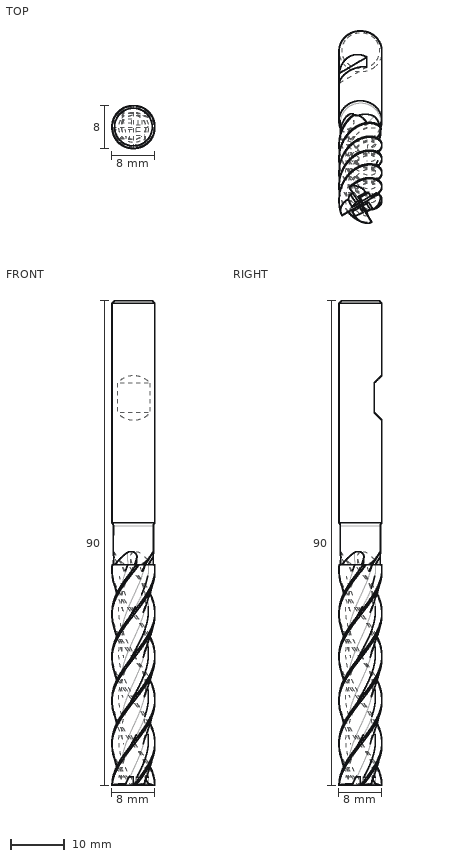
import cadquery as cq
import math

overall_length = 90.0
diameter = 8.0
radius = diameter / 2

shank_bottom = 48.75
shank_end_chamfer = 0.5
neck_radius = 3.75
shoulder_length = 0.5

flat_depth = 1.4
flat_length = 5.5
flat_from_end = 18.0

cut_length = 41.0
tooth_count = 4
tooth_pitch = 360.0 / tooth_count
helix_angle = 38.0
helix_lead = math.pi * diameter / math.tan(math.radians(helix_angle))

land_angle = 6.5
back_middle = (3.32, 29.0)
heel = (2.35, 55.0)
floor_middle = (2.25, 71.0)
rake_foot = (2.8, 86.0)

runout_height = 2.4
runout_lift = 1.5
runout_turn = 9.0
runout_steps = 4

gash_height = 1.6
gash_top_width = 0.8
gash_bottom_width = 1.6
gash_inner_radius = 0.4

end_relief_angle = 8.5


def polar(distance, angle):
    """Point at a distance from the axis and an angle in degrees from +X."""
    turn = math.radians(angle)
    return (distance * math.cos(turn), distance * math.sin(turn))


def twist_over(height):
    """Turn of the right-hand helix over a height, in degrees."""
    return 360.0 * height / helix_lead


def fluted_section(height, turn, lift=0.0):
    """Closed outline at a height, turned by an angle: land, back, flute floor and rake face per tooth.

    The lift moves the whole outline outwards, which makes the flutes shallower.
    """
    section = cq.Workplane("XY").workplane(offset=height)
    section = section.moveTo(*polar(radius + lift, turn))
    for tooth in range(tooth_count):
        edge = turn + tooth * tooth_pitch

        def at(place, edge=edge):
            return polar(place[0] + lift, edge + place[1])

        section = (
            section.threePointArc(at((radius, land_angle / 2)), at((radius, land_angle)))
            .threePointArc(at(back_middle), at(heel))
            .threePointArc(at(floor_middle), at(rake_foot))
            .lineTo(*at((radius, tooth_pitch)))
        )
    return section.close()


def tip_gash(tooth):
    """Groove beside one end cutting edge, upright along the edge and open below."""
    groove = (
        cq.Workplane("YZ")
        .workplane(offset=gash_inner_radius)
        .polyline([(0, 0), (0, gash_height), (-gash_top_width, gash_height), (-gash_bottom_width, 0)])
        .close()
        .extrude(diameter)
    )
    return groove.rotate((0, 0, 0), (0, 0, 1), tooth * tooth_pitch)


def end_relief(tooth):
    """Wedge under one tooth, growing from nothing at its end cutting edge."""
    rise = diameter * math.tan(math.radians(end_relief_angle))
    wedge = (
        cq.Workplane("YZ")
        .polyline([(0, 0), (diameter, rise), (diameter, 0)])
        .close()
        .extrude(diameter)
    )
    return wedge.rotate((0, 0, 0), (0, 0, 1), tooth * tooth_pitch)


def make_cutter():
    """Fluted cutting part with the gashed and relieved tip."""
    cutter = fluted_section(0, 0).twistExtrude(cut_length, twist_over(cut_length))
    for tooth in range(tooth_count):
        cutter = cutter.cut(tip_gash(tooth)).cut(end_relief(tooth))
    return cutter


def clamping_flat():
    """Flat-bottomed notch with 45-degree ends, running across the shank."""
    middle = overall_length - flat_from_end
    floor = radius - flat_depth
    half_floor = flat_length / 2
    clearance = 1.0
    half_mouth = half_floor + flat_depth + clearance
    return (
        cq.Workplane("YZ")
        .polyline(
            [
                (floor, middle - half_floor),
                (floor, middle + half_floor),
                (radius + clearance, middle + half_mouth),
                (radius + clearance, middle - half_mouth),
            ]
        )
        .close()
        .extrude(radius, both=True)
    )


def flute_runout():
    """Neck stretch in which the flutes straighten and rise out of the neck."""
    outlines = []
    for step in range(runout_steps + 1):
        share = step / runout_steps
        height = cut_length + share * runout_height
        turn = twist_over(cut_length) + share * runout_turn
        section = fluted_section(height, turn, share * runout_lift)
        outlines.append(section.val())
    lifted_bar = cq.Workplane(cq.Solid.makeLoft(outlines))
    neck_bar = cq.Workplane("XY").workplane(offset=cut_length).circle(neck_radius).extrude(runout_height)
    return neck_bar.intersect(lifted_bar)


def make_shank():
    """Shank with its clamping flat, and the neck blended into it that meets the cutting part."""
    neck_bottom = cut_length + runout_height
    shank = (
        cq.Workplane("XZ")
        .moveTo(0, neck_bottom)
        .lineTo(neck_radius, neck_bottom)
        .lineTo(neck_radius, shank_bottom - shoulder_length)
        .tangentArcPoint((radius, shank_bottom), relative=False)
        .lineTo(radius, overall_length - shank_end_chamfer)
        .lineTo(radius - shank_end_chamfer, overall_length)
        .lineTo(0, overall_length)
        .close()
        .revolve(360, (0, 0), (0, 1))
    )
    return shank.cut(clamping_flat()).union(flute_runout())


cutter = make_cutter()
shank = make_shank()

result = cq.Compound.makeCompound([cutter.val(), shank.val()])